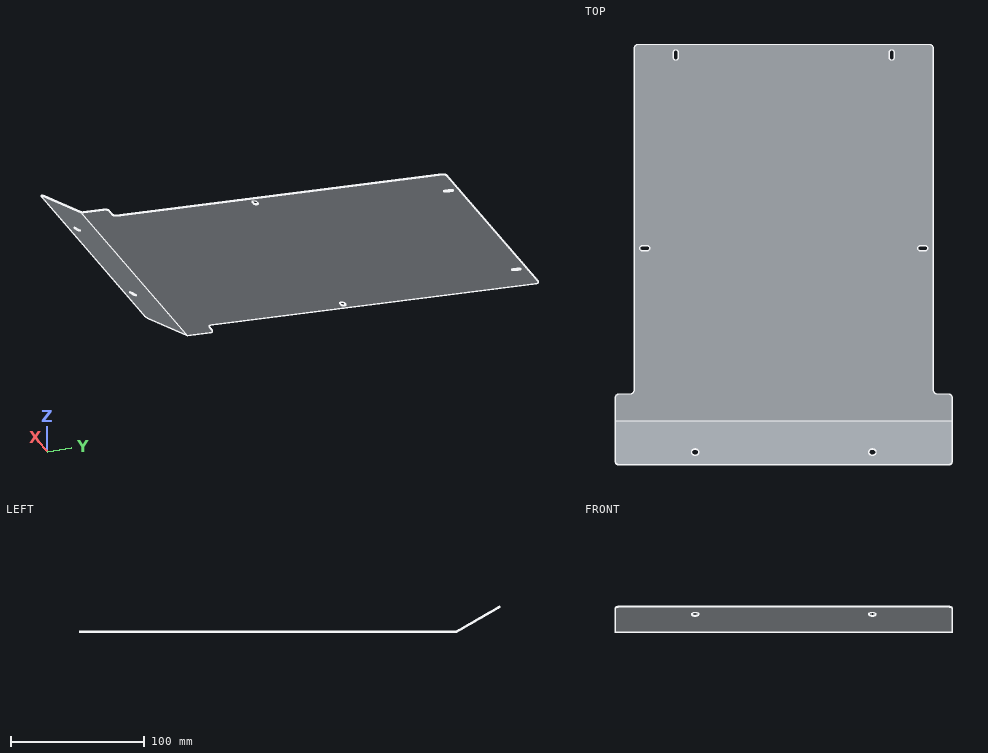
import cadquery as cq
import math

overall_width = 253.0
overall_length = 315.78
overall_height = 19.69

thickness = 0.9
bend_angle = 30.0
bend_sin = math.sin(math.radians(bend_angle))
bend_cos = math.cos(math.radians(bend_angle))

flange_length = (overall_height - thickness * bend_cos) / bend_sin
flange_reach = flange_length * bend_cos
panel_length = overall_length - flange_reach

panel_width = 224.6
shoulder_length = 20.75
corner_radius = 3.0

slot_length = 7.5
slot_width = 3.6
slot_edge_distance = 8.0
rear_slot_spacing = 162.0
side_slot_rear_distance = 153.0
side_slot_spacing = panel_width - 2 * slot_edge_distance
rear_slot_y = panel_length - slot_edge_distance
side_slot_y = panel_length - side_slot_rear_distance

flange_hole_diameter = 5.5
flange_hole_spacing = 133.0
flange_hole_edge_distance = 11.0


def make_panel():
    """Flat sheet with a wide shoulder beside the bend."""
    shoulder = (
        cq.Workplane("XY")
        .rect(overall_width, 2 * shoulder_length)
        .extrude(thickness)
    )
    main = (
        cq.Workplane("XY")
        .rect(panel_width, 2 * panel_length)
        .extrude(thickness)
    )
    outline = shoulder.union(main).edges("|Z").fillet(corner_radius)
    keep = (
        cq.Workplane("XY")
        .rect(overall_width, panel_length)
        .extrude(thickness)
        .translate((0, panel_length / 2, 0))
    )
    return outline.intersect(keep)


def cut_panel_slots(panel):
    """Rear slots run along Y, side slots run along X."""
    for spacing, y, angle in (
        (rear_slot_spacing, rear_slot_y, 90),
        (side_slot_spacing, side_slot_y, 0),
    ):
        slots = (
            cq.Workplane("XY")
            .pushPoints([(-spacing / 2, y), (spacing / 2, y)])
            .slot2D(slot_length, slot_width, angle)
            .extrude(thickness)
        )
        panel = panel.cut(slots)
    return panel


def make_flange():
    """Rounded, drilled strip made flat, then swung up about the lower bend line."""
    hole_y = flange_hole_edge_distance - flange_length
    holes = [(-flange_hole_spacing / 2, hole_y), (flange_hole_spacing / 2, hole_y)]
    flange = (
        cq.Workplane("XY")
        .rect(overall_width, flange_length)
        .extrude(thickness)
        .translate((0, -flange_length / 2, 0))
        .edges("|Z and <Y")
        .fillet(corner_radius)
    )
    drills = (
        cq.Workplane("XY")
        .pushPoints(holes)
        .circle(flange_hole_diameter / 2)
        .extrude(thickness)
    )
    return flange.cut(drills).rotate((0, 0, 0), (1, 0, 0), -bend_angle)


result = cut_panel_slots(make_panel()).union(make_flange())